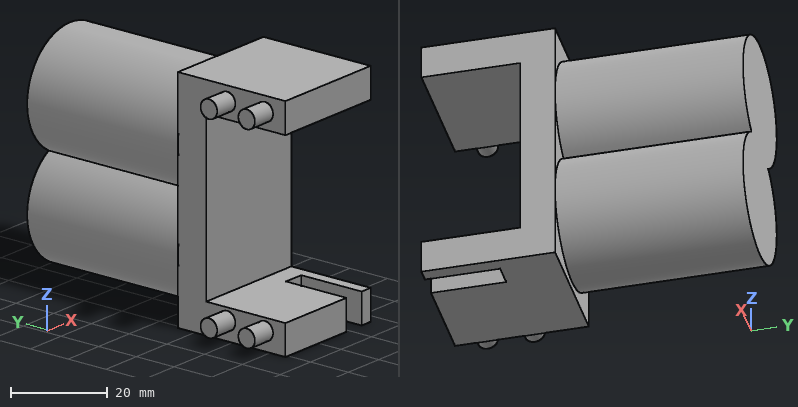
import cadquery as cq

width = 28.0
height = 56.0
total_length = 68.5
cylinder_length = 40.0
bracket_depth = total_length - cylinder_length
wall = 7.5

cylinder_diameter = width
cylinder_spacing = 24.25

pin_diameter = 4.4
pin_length = 5.95
pin_front_offset = 5.5
pin_spacing = 10.0
upper_pin_drop = 3.55
lower_pin_rise = 4.5

slot_width = 5.0
slot_length = 16.0
finger_width = 3.0


def corner_box(x_size, y_size, z_size, corner):
    """Box whose minimum corner sits at the given point."""
    return cq.Workplane("XY").box(x_size, y_size, z_size, centered=False).translate(corner)


def make_bracket():
    body = corner_box(width, bracket_depth, height, (0, 0, 0))
    opening = corner_box(width, bracket_depth - wall, height - 2 * wall, (0, 0, wall))
    slot_start = width - finger_width - slot_width
    slot = corner_box(slot_width, slot_length, wall, (slot_start, 0, 0))
    return body.cut(opening).cut(slot)


def make_cylinder(center_z):
    return (
        cq.Workplane("XZ", origin=(width / 2, bracket_depth, center_z))
        .circle(cylinder_diameter / 2)
        .extrude(-cylinder_length)
    )


def make_pin(center_y, center_z):
    return (
        cq.Workplane("YZ", origin=(0, center_y, center_z))
        .circle(pin_diameter / 2)
        .extrude(-pin_length)
    )


result = make_bracket()

for side in (-1, 1):
    result = result.union(make_cylinder(height / 2 + side * cylinder_spacing / 2))

for pin_z in (lower_pin_rise, height - upper_pin_drop):
    for pin_y in (pin_front_offset, pin_front_offset + pin_spacing):
        result = result.union(make_pin(pin_y, pin_z))